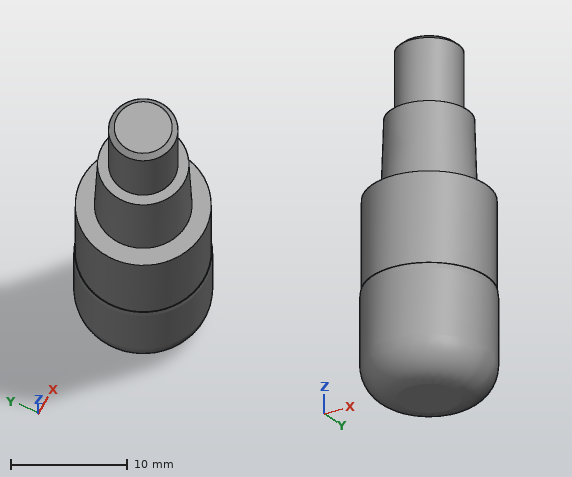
import cadquery as cq

total_height = 33.7
band_bottom = 9.6
band_top = 10.18
shoulder_height = 19.0
collar_top = 26.72

base_radius = 6.0
band_top_radius = 5.93
sleeve_radius = 5.85
collar_foot_radius = 4.2
collar_top_radius = 3.95
pin_radius = 3.0

bottom_fillet = 3.2
pin_chamfer_width = 0.5
pin_chamfer_height = 0.45

pin_bottom = shoulder_height


def make_pin():
    """Round pin with a chamfered top end."""
    chamfer_start = total_height - pin_chamfer_height
    return (
        cq.Workplane("XZ")
        .moveTo(0, pin_bottom)
        .lineTo(pin_radius, pin_bottom)
        .lineTo(pin_radius, chamfer_start)
        .lineTo(pin_radius - pin_chamfer_width, total_height)
        .lineTo(0, total_height)
        .close()
        .revolve(360, (0, 0), (0, 1))
    )


def make_housing():
    """Stepped round housing with a tapered collar, a rounded bottom and a blind hole for the pin."""
    outer = (
        cq.Workplane("XZ")
        .lineTo(base_radius, 0)
        .lineTo(base_radius, band_bottom)
        .lineTo(band_top_radius, band_top)
        .lineTo(sleeve_radius, band_top)
        .lineTo(sleeve_radius, shoulder_height)
        .lineTo(collar_foot_radius, shoulder_height)
        .lineTo(collar_top_radius, collar_top)
        .lineTo(0, collar_top)
        .close()
        .revolve(360, (0, 0), (0, 1))
        .faces("<Z")
        .edges()
        .fillet(bottom_fillet)
    )
    pin_hole = (
        cq.Workplane("XY")
        .workplane(offset=pin_bottom)
        .circle(pin_radius)
        .extrude(collar_top - pin_bottom)
    )
    return outer.cut(pin_hole)


housing = make_housing()
pin = make_pin()

result = cq.Compound.makeCompound([housing.val(), pin.val()])